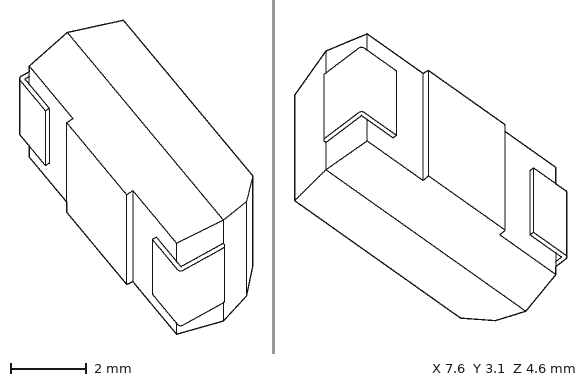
import cadquery as cq

overall_length = 7.6
overall_depth = 3.1
case_height = 4.6
half_depth = overall_depth / 2

lead_thickness = 0.13
seam_half_length = overall_length / 2 - lead_thickness
front_half_length = 3.465
face_height = 4.08
pad_length = 2.82
pad_projection = 0.2
front_y = -half_depth + pad_projection

back_left_x = -3.32
bevel_back_x = 2.775
bevel_end_x = 3.43
bevel_depth = 0.645

lead_height = 2.49
foot_length = 1.285
lead_bend_radius = 0.1


def extrude_along_z(outline, height):
    """Extrude a closed XY outline, centred on Z = 0."""
    return cq.Workplane("XY").polyline(outline).close().extrude(height / 2, both=True)


def make_tapered_envelope():
    """Hexagonal bar along X that slopes the top and bottom of the case."""
    section = [
        (0, case_height / 2),
        (half_depth, face_height / 2),
        (half_depth, -face_height / 2),
        (0, -case_height / 2),
        (-half_depth, -face_height / 2),
        (-half_depth, face_height / 2),
    ]
    return cq.Workplane("YZ").polyline(section).close().extrude(overall_length / 2, both=True)


def make_back_case():
    outline = [
        (-seam_half_length, 0),
        (back_left_x, half_depth),
        (bevel_back_x, half_depth),
        (bevel_end_x, half_depth - bevel_depth),
        (seam_half_length, 0),
    ]
    return extrude_along_z(outline, case_height).intersect(make_tapered_envelope())


def make_front_case():
    """Front half with the raised central pad that runs over its full height."""
    outline = [
        (-seam_half_length, 0),
        (-front_half_length, front_y),
        (-pad_length / 2, front_y),
        (-pad_length / 2, -half_depth),
        (pad_length / 2, -half_depth),
        (pad_length / 2, front_y),
        (front_half_length, front_y),
        (seam_half_length, 0),
    ]
    return extrude_along_z(outline, case_height).intersect(make_tapered_envelope())


def make_lead(side):
    """L-shaped strip from the seam to under the front face; side is -1 or +1."""
    outer_x = side * overall_length / 2
    inner_x = side * seam_half_length
    foot_tip_x = side * (overall_length / 2 - foot_length)
    outer_y = front_y - lead_thickness
    outline = [
        (inner_x, 0),
        (outer_x, 0),
        (outer_x, outer_y),
        (foot_tip_x, outer_y),
        (foot_tip_x, front_y),
        (inner_x, front_y),
    ]
    outer_face = ">X" if side > 0 else "<X"
    strip = extrude_along_z(outline, lead_height)
    return strip.faces(outer_face).edges("|Z").fillet(lead_bend_radius)


back_case = make_back_case()
front_case = make_front_case()
leads = [make_lead(side) for side in (-1, 1)]

result = cq.Compound.makeCompound(
    [back_case.val(), front_case.val(), *[lead.val() for lead in leads]]
)